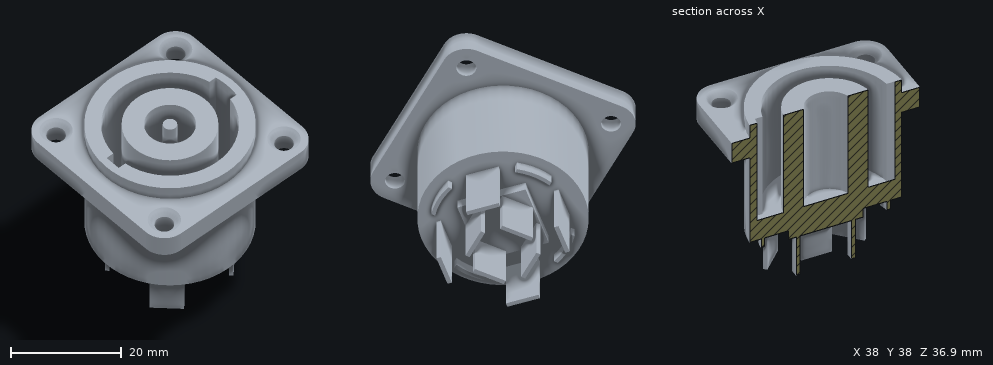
import cadquery as cq

flange_size = 38.0
flange_thickness = 4.52
corner_radius = 4.45
screw_spacing = flange_size - 2 * corner_radius
screw_hole_diameter = 3.57
countersink_diameter = 6.0
countersink_angle = 90

body_diameter = 30.95
body_length = 19.0
lip_height = 2.85
body_height = body_length + flange_thickness + lip_height

cavity_diameter = 24.9
core_diameter = 17.45
bore_diameter = 9.4
pin_diameter = 2.62
floor_thickness = flange_thickness
cavity_depth = body_height - floor_thickness

keyway_radius = 13.95
wide_keyway_width = 5.6
narrow_keyway_width = 3.23

tab_width = 6.25
tab_thickness = 0.85
tab_length = 10.53
axis_tab_radius = 6.0
diagonal_tab_radius = 11.63

foot_drop = 1.95
foot_outer_radius = 13.2
foot_inner_radius = 12.43
foot_width = 6.9
hub_width = 13.0

overlap = 0.38


def cylinder(diameter, bottom, height):
    return cq.Workplane("XY").workplane(offset=bottom).circle(diameter / 2).extrude(height)


def block(size_x, size_y, centre_x, centre_y, bottom, height):
    return (
        cq.Workplane("XY")
        .workplane(offset=bottom)
        .center(centre_x, centre_y)
        .rect(size_x, size_y)
        .extrude(height)
    )


def turned(shape, angle):
    return shape.rotate((0, 0, 0), (0, 0, 1), angle)


def make_flange():
    return (
        block(flange_size, flange_size, 0, 0, body_length, flange_thickness)
        .edges("|Z")
        .fillet(corner_radius)
        .faces(">Z")
        .workplane()
        .rect(screw_spacing, screw_spacing, forConstruction=True)
        .vertices()
        .cskHole(screw_hole_diameter, countersink_diameter, countersink_angle)
    )


def make_keyway(width, side):
    """Flat-ended radial slot on the +Y (side = 1) or -Y (side = -1) half."""
    return block(width, keyway_radius, 0, side * keyway_radius / 2, floor_thickness, cavity_depth)


def make_wide_keyway():
    """Keyway on the +Y half whose outer end follows the round body."""
    return make_keyway(wide_keyway_width, 1).intersect(
        cylinder(2 * keyway_radius, floor_thickness, cavity_depth)
    )


def make_socket_cut():
    """Everything hollow inside the body."""
    core = cylinder(core_diameter, floor_thickness, cavity_depth)
    bore = cylinder(bore_diameter, floor_thickness, cavity_depth)
    pin = cylinder(pin_diameter, floor_thickness, cavity_depth)
    return (
        cylinder(cavity_diameter, floor_thickness, cavity_depth)
        .union(make_wide_keyway())
        .union(make_keyway(narrow_keyway_width, -1))
        .cut(core)
        .union(bore)
        .cut(pin)
    )


def make_tab(outer_radius):
    """Upright plate on the +X side with its outer face at outer_radius."""
    centre = outer_radius - tab_thickness / 2
    return block(tab_thickness, tab_width, centre, 0, -tab_length, tab_length + overlap)


def make_foot():
    """Curved foot on the +X side with parallel ends."""
    height = foot_drop + overlap
    ring = cylinder(2 * foot_outer_radius, -foot_drop, height).cut(
        cylinder(2 * foot_inner_radius, -foot_drop, height)
    )
    window = block(foot_outer_radius, foot_width, foot_outer_radius / 2, 0, -foot_drop, height)
    return ring.intersect(window)


def make_hub():
    """Square hub turned so that its faces look along the diagonals."""
    return turned(block(hub_width, hub_width, 0, 0, -foot_drop, foot_drop + overlap), 45)


body = cylinder(body_diameter, 0, body_height)
result = body.union(make_flange()).cut(make_socket_cut()).union(make_hub())

for quarter in range(4):
    axis_angle = 90 * quarter
    diagonal_angle = axis_angle + 45
    result = (
        result.union(turned(make_foot(), axis_angle))
        .union(turned(make_tab(axis_tab_radius), axis_angle))
        .union(turned(make_tab(diagonal_tab_radius), diagonal_angle))
    )